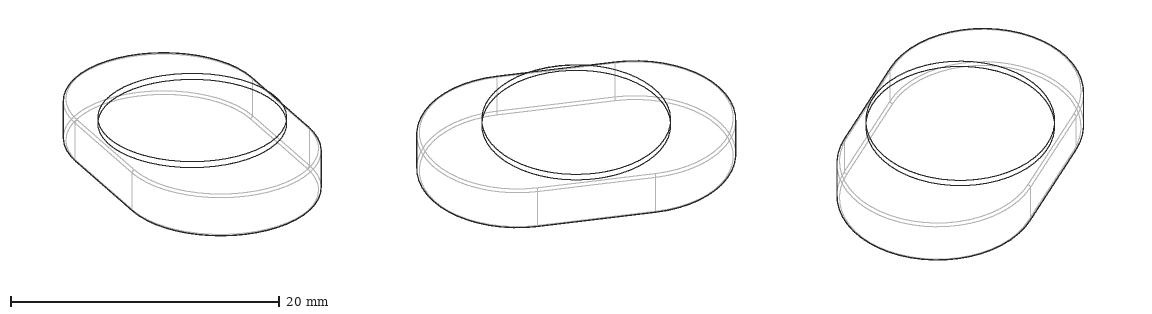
import cadquery as cq

length = 24.0
width = 15.0
total_height = 4.0

pad_diameter = 14.1
pad_height = 0.5

rim_radius = 0.2

body_height = total_height - pad_height

body = (
    cq.Workplane("XY")
    .slot2D(length, width)
    .extrude(body_height)
    .faces("<Z or >Z")
    .edges()
    .fillet(rim_radius)
)

pad = (
    cq.Workplane("XY")
    .workplane(offset=body_height)
    .circle(pad_diameter / 2)
    .extrude(pad_height)
)

result = body.union(pad)